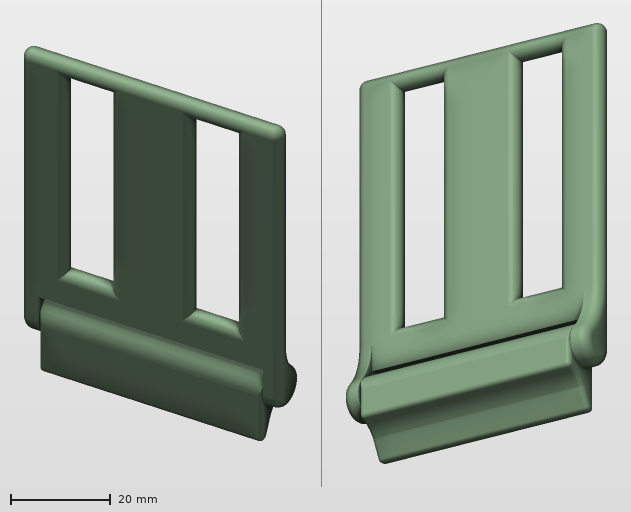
import cadquery as cq
import math

width = 58.0
height = 83.9
thickness = 4.0
flat_left = 0.002
edge_radius = thickness / 2 - flat_left

depth = 9.1
boss_radius = depth / 2
pivot_y = boss_radius
pivot_z = 12.9
blend_radius = 13.8

window_width = 10.0
window_offset = 14.0
window_top = height - thickness
window_bottom = 27.9

notch_half_width = 25.15
notch_front_z = 19.9
notch_back_z = 19.3

side_gap = 0.2
lever_width = 2 * (notch_half_width - side_gap)
lever_fillet = 1.0
crown_radius = 5.2
crown_z = 12.5
crown_back_y = 7.7
crown_back_z = 16.2
shoulder_z = 13.4
heel_z = 7.2
hollow_y = 6.3
hollow_z = 6.0
hollow_end_y = 4.45
hollow_end_z = 4.3
tip_back_y = 2.1


def make_frame_blank():
    """Plate and full-width boss, with every outer edge rounded."""
    blend_y = thickness + blend_radius
    centre_distance = blend_radius + boss_radius
    blend_rise = math.sqrt(centre_distance**2 - (blend_y - pivot_y) ** 2)
    blend_z = pivot_z + blend_rise
    blend_sweep = math.atan2(blend_rise, blend_y - pivot_y)

    def on_blend(angle):
        return (blend_y - blend_radius * math.cos(angle), blend_z - blend_radius * math.sin(angle))

    blank = (
        cq.Workplane("YZ")
        .moveTo(0, pivot_z)
        .lineTo(0, height)
        .lineTo(thickness, height)
        .lineTo(thickness, blend_z)
        .threePointArc(on_blend(blend_sweep / 2), on_blend(blend_sweep))
        .threePointArc((pivot_y, pivot_z - boss_radius), (0, pivot_z))
        .close()
        .extrude(width / 2, both=True)
    )
    return blank.faces("<X or >X or >Z").edges().fillet(edge_radius)


def cut_windows(frame):
    """Two tall windows with rounded front and back rims."""
    window_height = window_top - window_bottom
    for x in (-window_offset, window_offset):
        opening = cq.Workplane("XY").box(window_width, 4 * thickness, window_height)
        frame = frame.cut(opening.translate((x, 0, (window_top + window_bottom) / 2)))
    rim_box = cq.selectors.BoxSelector(
        (-window_offset - window_width, -0.8, window_bottom - 0.8),
        (window_offset + window_width, thickness + 0.8, window_top + 0.8),
    )
    rims = frame.edges(rim_box).edges("not |Y")
    return rims.fillet(edge_radius)


def cut_notch(frame):
    """Open notch between the bosses; behind it the plate stays flat, with a sloping lower edge."""
    notch = (
        cq.Workplane("YZ")
        .lineTo(0, notch_front_z)
        .lineTo(thickness, notch_back_z)
        .lineTo(thickness, height)
        .lineTo(depth, height)
        .lineTo(depth, 0)
        .close()
        .extrude(notch_half_width, both=True)
    )
    return frame.cut(notch)


def make_lever():
    """Hollow-backed grip with rounded edges, finished by a rounded crown."""
    grip = (
        cq.Workplane("YZ")
        .moveTo(0, height / 2)
        .lineTo(0, 0)
        .lineTo(tip_back_y, 0)
        .lineTo(hollow_end_y, hollow_end_z)
        .threePointArc((hollow_y, hollow_z), (depth, heel_z))
        .lineTo(depth, height / 2)
        .close()
        .extrude(lever_width / 2, both=True)
    )
    grip = grip.faces("not >Z").edges("not >Z").fillet(lever_fillet)

    crown_arc = crown_radius * math.sqrt(0.5)
    crown = (
        cq.Workplane("YZ")
        .moveTo(0, 0)
        .lineTo(0, crown_z)
        .threePointArc(
            (crown_radius - crown_arc, crown_z + crown_arc),
            (crown_radius, crown_z + crown_radius),
        )
        .threePointArc((crown_back_y, crown_back_z), (depth, shoulder_z))
        .lineTo(depth, 0)
        .close()
        .extrude(lever_width / 2, both=True)
    )
    return grip.intersect(crown)


frame = cut_notch(cut_windows(make_frame_blank()))
lever = make_lever()

result = cq.Compound.makeCompound([frame.val(), lever.val()])